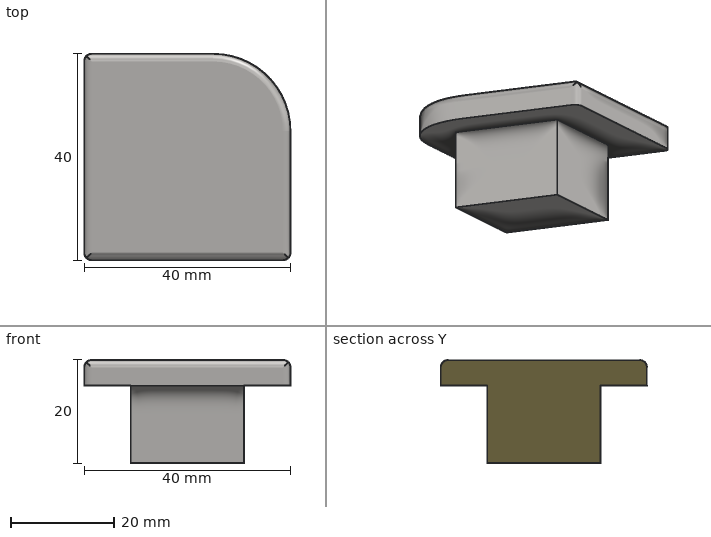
import cadquery as cq

cap_side = 40.0
cap_thickness = 5.0
large_corner_radius = 15.0
edge_radius = 1.5
total_height = 20.0
stem_side = 22.0

stem_height = total_height - cap_thickness


def make_blank():
    """Square plate with one large rounded corner at +X +Y."""
    blank = cq.Workplane("XY").box(cap_side, cap_side, cap_thickness, centered=(True, True, False))
    return blank.edges("|Z and >X and >Y").fillet(large_corner_radius)


def make_cap():
    """Plate with a rounded top rim and three small rounded corners, meeting along mitred seams."""
    rounded_rim = make_blank().edges(">Z").fillet(edge_radius)
    rounded_corners = make_blank().edges("(|Z and <X) or (|Z and <Y)").fillet(edge_radius)
    return rounded_rim.intersect(rounded_corners)


def make_stem():
    """Square stem centred below the cap."""
    return cq.Workplane("XY").rect(stem_side, stem_side).extrude(-stem_height)


result = make_cap().union(make_stem())